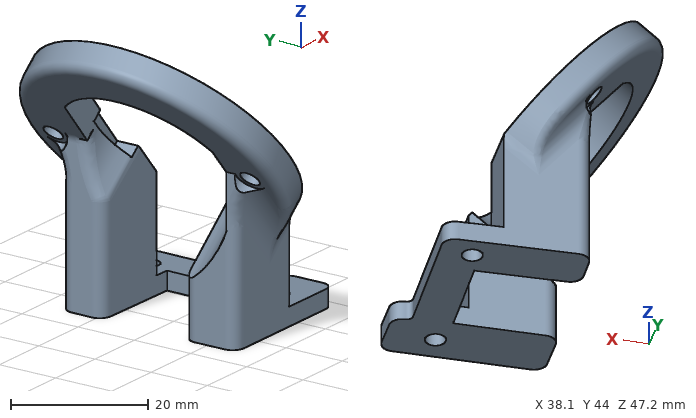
import math

import cadquery as cq


ring_radius = 22.0
ring_thickness = 5.0
ring_tilt = 50.0
ring_centre_x = -9.42
overall_height = 47.23
ring_edge_round = 1.5

bore_radius = 14.5
bore_front_limit = -13.70
bore_back_limit = 11.45
front_scoop_radius = 15.0
back_scoop_radius = 11.5

screw_offset = 17.5
screw_hole_diameter = 3.2
screw_head_radius = 2.5
screw_head_depth = 6.0

pocket_depth = 2.1
pocket_start = -0.8
pocket_end = 7.8
pocket_back_y = 12.33
pocket_corner_radius = 0.5

skew = 1.15
base_thickness = 3.1
front_post_left = -13.54
front_post_y = (-15.2, -5.9)
back_post_left = -13.5
back_post_y = (8.4, 16.0)
crossbar_inner_x = 2.4
crossbar_outer_x = 8.5
foot_tip_x = 11.28
foot_inner_y = -6.48
corner_radius = 2.0
window_depth = 6.0
foot_notch_radius = 0.9

base_hole_diameter = 3.1
base_hole_centres = [(3.79, 12.25), (3.79, -10.75)]

front_blend_radius = 4.0
back_blend_radius = 3.0
back_top_blend_radius = 2.0

reach = 60.0
everywhere = (-reach, reach)
margin = 1.0
post_overrun = 3.0

slope_cos = math.cos(math.radians(ring_tilt))
slope_sin = math.sin(math.radians(ring_tilt))
ring_plane = cq.Plane(
    origin=(ring_centre_x, 0, overall_height - ring_radius * slope_sin),
    xDir=(slope_cos, 0, -slope_sin),
    normal=(slope_sin, 0, slope_cos),
)


def on_ring(x, y, z):
    """Point given in the ring frame."""
    return ring_plane.toWorldCoords((x, y, z)).toTuple()


def skewed(x, y):
    """Point turned clockwise about the Z axis by the skew angle."""
    angle = math.radians(skew)
    return (x * math.cos(angle) + y * math.sin(angle), y * math.cos(angle) - x * math.sin(angle))


def skewed_line_x(x, y):
    """X, at the given y, of the line that stood upright at x before the turn."""
    angle = math.radians(skew)
    return x / math.cos(angle) + y * math.tan(angle)


def block(x_range, y_range, z_range):
    corner = (x_range[0], y_range[0], z_range[0])
    size = (x_range[1] - x_range[0], y_range[1] - y_range[0], z_range[1] - z_range[0])
    return cq.Workplane(cq.Solid.makeBox(*size, cq.Vector(*corner)))


def skewed_block(x_range, y_range, z_range):
    return block(x_range, y_range, z_range).rotate((0, 0, 0), (0, 0, 1), -skew)


def ring_block(x_range, y_range, z_range):
    """Block given by its extents in the ring frame."""
    return cq.Workplane(block(x_range, y_range, z_range).val().moved(cq.Location(ring_plane)))


def ring_cylinder(radius, z_range, y=0.0):
    """Cylinder along the ring axis, given in the ring frame."""
    start = cq.Workplane(ring_plane).workplane(offset=z_range[0]).center(0, y)
    return start.circle(radius).extrude(z_range[1] - z_range[0])


def rounded(body, radius, *points):
    """Round the edges of the body that lie closest to the given points."""
    solid = body.val().Solids()[0]
    markers = [cq.Vertex.makeVertex(*point) for point in points]
    edges = [min(solid.Edges(), key=marker.distance) for marker in markers]
    return cq.Workplane(solid.fillet(radius, edges))


def ring_on_posts():
    """Tilted disc on two sharp-edged posts that still run a little past X = 0."""
    front_post = block((front_post_left, post_overrun), front_post_y, (0, reach))
    back_post = skewed_block((back_post_left, post_overrun), back_post_y, (0, reach))
    above_ring = ring_block(everywhere, everywhere, (0, reach))
    disc = ring_cylinder(ring_radius, (-ring_thickness, 0))
    return disc.union(front_post.cut(above_ring)).union(back_post.cut(above_ring))


def blend_posts(body):
    """Blend the post sides into the underside and the rim of the ring."""
    sides = ((front_post_y[0], front_blend_radius), (back_post_y[1], back_blend_radius))
    for side_y, radius in sides:
        rim_x = math.sqrt(ring_radius**2 - side_y**2)
        under_ring = on_ring(rim_x / 2, side_y, -ring_thickness)
        beside_rim = on_ring(rim_x, side_y, -ring_thickness / 2)
        body = rounded(body, radius, under_ring, beside_rim)
    return body


def round_outside(body):
    """Round the lower rim of the ring and the left edges of the posts."""
    body = rounded(body, ring_edge_round, on_ring(-ring_radius, 0, -ring_thickness))
    back_outer_corner = skewed(back_post_left, back_post_y[1])
    front_outer_corner = (front_post_left, front_post_y[0])
    front_inner_corner = (front_post_left, front_post_y[1])
    body = rounded(body, corner_radius, (*front_outer_corner, base_thickness))
    body = rounded(body, corner_radius, (*back_outer_corner, base_thickness))
    body = rounded(body, back_top_blend_radius, back_post_top(sum(back_post_y) / 2))
    return rounded(body, corner_radius, (*front_inner_corner, base_thickness))


def back_post_top(y):
    """Point where the left face of the back post meets the underside of the ring."""
    x, y_turned = skewed(back_post_left, y)
    underside_x, _, underside_z = on_ring(0, 0, -ring_thickness)
    return (x, y_turned, underside_z - (x - underside_x) * slope_sin / slope_cos)


def bore():
    """Cropped bore of the ring, widened into the front post and narrowed into the back post."""
    through = (-reach, margin)
    upper_crop = ring_block((-reach, 0), (-reach, bore_back_limit), everywhere)
    lower_crop = ring_block((0, reach), everywhere, everywhere)
    front_crop = skewed_block(everywhere, (bore_front_limit, back_post_y[0]), everywhere)
    back_crop = ring_block(everywhere, (0, bore_back_limit), everywhere)
    not_past_front = skewed_block(everywhere, (bore_front_limit, reach), everywhere)
    upper_half = ring_cylinder(bore_radius, through).intersect(upper_crop).intersect(not_past_front)
    front_scoop = ring_cylinder(front_scoop_radius, through).intersect(lower_crop).intersect(front_crop)
    back_scoop = ring_cylinder(back_scoop_radius, through).intersect(back_crop)
    return upper_half.union(front_scoop).union(back_scoop)


def on_scoop(x, y):
    """Point of the back scoop surface at the given X and Y."""
    down_slope = math.sqrt(back_scoop_radius**2 - y**2)
    above_face = (x - ring_centre_x - down_slope * slope_cos) / slope_sin
    return on_ring(down_slope, y, above_face)


def round_scoop(body):
    """Round the inner left edge of the back post and the edges of its scoop."""
    inner_x, inner_y = skewed(back_post_left, back_post_y[0])
    top_x, top_y, top_z = back_post_top(bore_back_limit)
    down_slope = math.sqrt(back_scoop_radius**2 - back_post_y[0] ** 2)
    post_edge = (inner_x, inner_y, base_thickness)
    scoop_left_edge = on_scoop(inner_x, (inner_y + bore_back_limit) / 2)
    flat_left_edge = (top_x, top_y, top_z - corner_radius)
    scoop_side_edge = on_ring(down_slope, inner_y, -ring_thickness / 2)
    return rounded(body, corner_radius, post_edge, scoop_left_edge, flat_left_edge, scoop_side_edge)


def sharp_bore_flat():
    """Strip of the ring along the back flat of its bore, square at the underside."""
    slab = (-ring_thickness, 0)
    strip_y = (bore_back_limit, bore_back_limit + corner_radius)
    flat_start = -math.sqrt(bore_radius**2 - bore_back_limit**2)
    return ring_block((flat_start, 0), strip_y, slab)


def trim_back(body):
    """Cut off everything past X = 0 and open the ring between the posts."""
    window_x = (-window_depth, reach)
    window = block(window_x, (front_post_y[1], 0), everywhere)
    window = window.union(skewed_block(window_x, (-margin, back_post_y[0]), everywhere))
    return body.cut(block((0, reach), everywhere, everywhere)).cut(window)


def cut_pocket(body):
    """Shallow pocket sunk into the upper ring face beside the scoop."""
    pocket = ring_block((pocket_start, pocket_end), (0, pocket_back_y), (-pocket_depth, margin))
    corner = on_ring(pocket_start, pocket_back_y, 0)
    return body.cut(rounded(pocket, pocket_corner_radius, corner))


def cut_ring_screws(body):
    """Screw holes through the ring with head clearance below it."""
    for y in (-screw_offset, screw_offset):
        body = body.cut(ring_cylinder(screw_hole_diameter / 2, (-ring_thickness - margin, margin), y))
        head_range = (-ring_thickness - screw_head_depth, -ring_thickness)
        body = body.cut(ring_cylinder(screw_head_radius, head_range, y))
    return body


def make_base():
    """Base plate with its two screw holes, overlapping the posts."""
    front_y, inner_y = front_post_y
    inner_back_y, back_y = back_post_y
    foot_corner = (foot_tip_x, front_y)
    foot_shoulder = (foot_tip_x, foot_inner_y)
    foot_notch = (skewed_line_x(crossbar_outer_x, foot_inner_y), foot_inner_y)
    back_corner = skewed(crossbar_outer_x, back_y)
    outline = [
        (-post_overrun, front_y),
        foot_corner,
        foot_shoulder,
        foot_notch,
        back_corner,
        skewed(-post_overrun, back_y),
        skewed(-post_overrun, inner_back_y),
        skewed(crossbar_inner_x, inner_back_y),
        (skewed_line_x(crossbar_inner_x, inner_y), inner_y),
        (-post_overrun, inner_y),
    ]
    plate = cq.Workplane("XY").polyline(outline).close().extrude(base_thickness)
    middle = base_thickness / 2
    corners = [(*point, middle) for point in (foot_corner, foot_shoulder, back_corner)]
    plate = rounded(plate, corner_radius, *corners)
    plate = rounded(plate, foot_notch_radius, (*foot_notch, middle))
    holes = cq.Workplane("XY").pushPoints(base_hole_centres).circle(base_hole_diameter / 2)
    return plate.cut(holes.extrude(base_thickness))


bracket = ring_on_posts()
bracket = blend_posts(bracket)
bracket = round_outside(bracket)
bracket = bracket.cut(bore())
bracket = round_scoop(bracket)
bracket = bracket.union(sharp_bore_flat())
bracket = trim_back(bracket)
bracket = cut_pocket(bracket)
bracket = cut_ring_screws(bracket)
bracket = bracket.union(make_base())
result = cq.Workplane(bracket.solids().val())